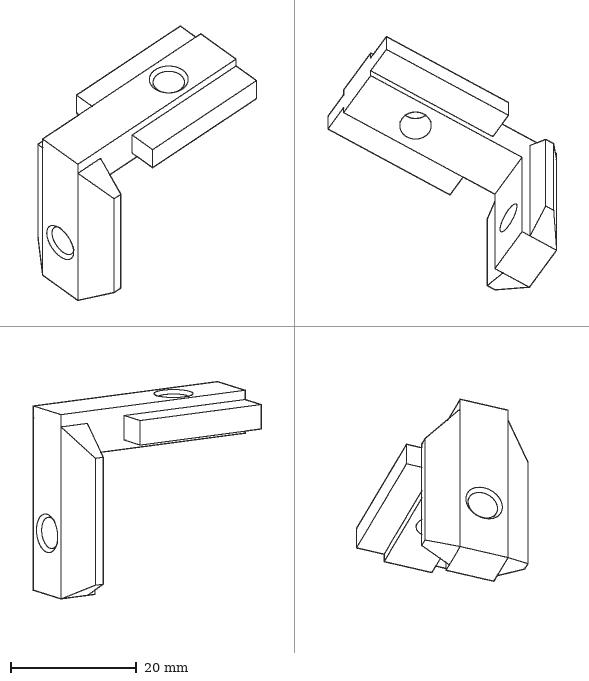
import cadquery as cq

width = 17.5
length = 35.0
height = 30.0

core_width = 8.12
flat_leg_thickness = 7.0
upright_leg_thickness = 6.5

flange_length = 23.0
flange_drop = 1.5
flange_thickness = 4.0

wing_depth = 5.0
wing_edge_thickness = 1.5
wing_top_drop = 2.0
wing_top_taper = 4.7
wing_bottom_taper = 2.65

hole_diameter = 5.0
countersink_diameter = 6.2
countersink_angle = 90
flat_hole_from_back = 11.0
upright_hole_height = 9.98

half_width = width / 2
half_core = core_width / 2


def make_core():
    """L profile in the YZ plane, extruded across the core width."""
    outline = [
        (0, 0),
        (upright_leg_thickness, 0),
        (upright_leg_thickness, height - flat_leg_thickness),
        (length, height - flat_leg_thickness),
        (length, height),
        (0, height),
    ]
    return cq.Workplane("YZ").polyline(outline).close().extrude(half_core, both=True)


def make_flanges():
    """One bar through the flat leg forms the flanges on both sides."""
    flange_bottom = height - flange_drop - flange_thickness
    return (
        cq.Workplane("XY")
        .box(width, flange_length, flange_thickness, centered=(True, False, False))
        .translate((0, length - flange_length, flange_bottom))
    )


def make_wings():
    """Intersect the tapered plan section with the tapered front outline."""
    wing_top = height - wing_top_drop
    section = [
        (-half_core, 0),
        (half_core, 0),
        (half_width, wing_depth - wing_edge_thickness),
        (half_width, wing_depth),
        (-half_width, wing_depth),
        (-half_width, wing_depth - wing_edge_thickness),
    ]
    front_outline = [
        (-half_core, 0),
        (half_core, 0),
        (half_width, wing_bottom_taper),
        (half_width, wing_top - wing_top_taper),
        (half_core, wing_top),
        (-half_core, wing_top),
        (-half_width, wing_top - wing_top_taper),
        (-half_width, wing_bottom_taper),
    ]
    bar = cq.Workplane("XY").polyline(section).close().extrude(height)
    plate = cq.Workplane("XZ").polyline(front_outline).close().extrude(-wing_depth)
    return bar.intersect(plate)


def drill(body, plane, origin):
    """Countersunk hole from the outer face through the whole leg."""
    return (
        body.copyWorkplane(cq.Workplane(plane, origin=origin))
        .cskHole(hole_diameter, countersink_diameter, countersink_angle)
    )


result = make_core().union(make_flanges()).union(make_wings())
result = drill(result, "XY", (0, length - flat_hole_from_back, height))
result = drill(result, "XZ", (0, 0, upright_hole_height))